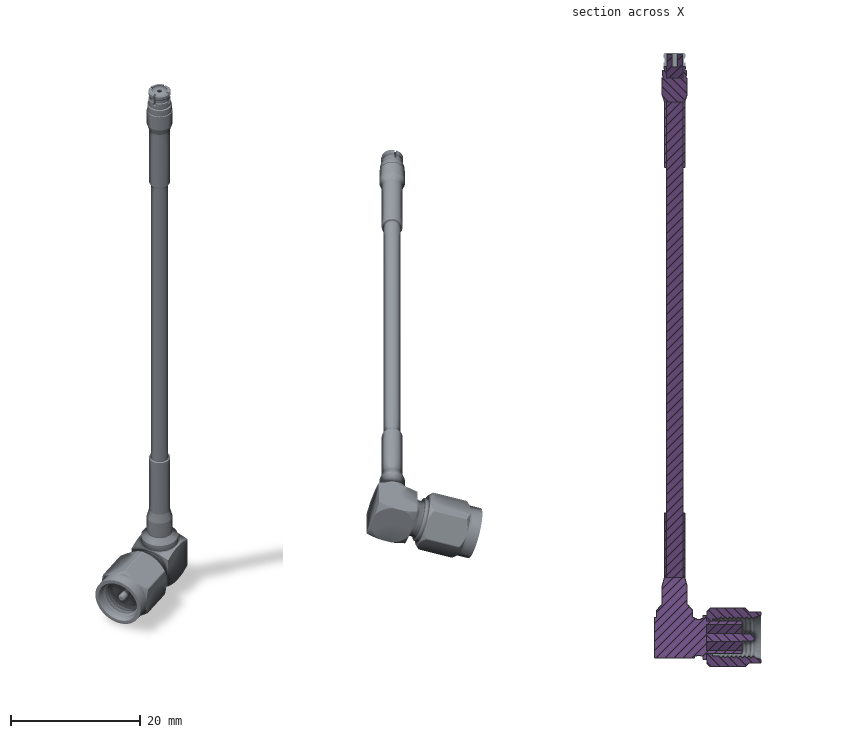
import cadquery as cq
import math


OVERALL_HEIGHT = 95.1
CHAMFER_RUN = 0.6

NUT_FLATS = 8.0
NUT_CORNER_RADIUS = 4.6
NUT_BACK_Y = -4.9
NUT_HEX_END_Y = -11.5
NUT_FRONT_Y = -13.4
NUT_WALL = 0.95
NUT_BORE_RADIUS = 2.9
NUT_MOUTH_RADIUS = 3.4
NUT_MOUTH_DEPTH = 0.6
THREAD_PITCH = 0.7
THREAD_DEPTH = 0.3
THREAD_COUNT = 9

ELBOW_HALF_WIDTH = 3.2
ELBOW_HALF_DEPTH = 3.1
ELBOW_TOP_Z = 3.1
ELBOW_CORNER_DROP = 0.7
ELBOW_TRIM_RADIUS = 3.3
COLLAR_RADIUS = 2.9
COLLAR_CHAMFER_Z = 4.2
COLLAR_TOP_Z = 5.0
COLLAR_TOP_RADIUS = 2.1
FERRULE_RADIUS = 2.0
FERRULE_SHOULDER_Z = 7.9
FERRULE_TOP_Z = 9.3
NECK_RADIUS = 2.95
NECK_GROOVE_RADIUS = 2.9
NECK_GROOVE_BACK_Y = -3.4
NECK_GROOVE_FRONT_Y = -4.1
FLANGE_RADIUS = 3.4
FLANGE_BACK_Y = -4.4
TUBE_RADIUS = 2.6
TUBE_END_Y = -10.5

INSULATOR_RADIUS = 2.0
INSULATOR_BACK_Y = NUT_BACK_Y
PIN_RADIUS = 0.6
PIN_TIP_Y = -12.4
PIN_TIP_CHAMFER = 0.2

CABLE_RADIUS = 1.3
SLEEVE_RADIUS = 1.6
LOWER_SLEEVE_TOP_Z = 19.3
UPPER_SLEEVE_LENGTH = 10.3

PLUG_TIP_Z = OVERALL_HEIGHT - NUT_CORNER_RADIUS
PLUG_LENGTH = 7.5
PLUG_BODY_RADIUS = 2.0
PLUG_CHAMFER_DEPTH = 6.4
PLUG_BODY_DEPTH = 3.8
STOP_RADIUS = 1.9
STOP_DEPTH = 2.7
STOP_GROOVE_DEPTH = 3.5
STOP_GROOVE_RADIUS = 1.8
NOSE_RADIUS = 1.7
NOSE_END_DEPTH = 2.4
NOSE_END_RADIUS = 1.6
LIP_DEPTH = 0.7
SNAP_GROOVE_RADIUS = 1.5
SNAP_GROOVE_START = 0.95
SNAP_GROOVE_END = 1.5
TIP_CHAMFER = 0.2
PLUG_BORE_RADIUS = 1.2
SLOT_WIDTH = 0.4
SLOT_DEPTH = 2.0
SLOT_COUNT = 4
PLUG_INSULATOR_LENGTH = 3.8
PLUG_INSULATOR_RECESS = 0.2
CONTACT_HOLE_RADIUS = 0.4
CONTACT_HOLE_DEPTH = 1.9

PLUG_BASE_Z = PLUG_TIP_Z - PLUG_LENGTH


def turned_z(profile):
    """Solid turned about Z from (radius, z) points; the profile is closed along the axis."""
    points = [(0, profile[0][1])] + profile + [(0, profile[-1][1])]
    return cq.Workplane("XZ").polyline(points).close().revolve(360, (0, 0, 0), (0, 1, 0))


def turned_y(profile):
    """Solid turned about Y from (radius, y) points; the profile is closed along the axis."""
    points = [(0, profile[0][1])] + profile + [(0, profile[-1][1])]
    return cq.Workplane("XY").polyline(points).close().revolve(360, (0, 0, 0), (0, 1, 0))


def rod_z(radius, bottom, top):
    return turned_z([(radius, bottom), (radius, top)])


def rod_y(radius, back, front):
    return turned_y([(radius, back), (radius, front)])


def make_elbow():
    bottom = -ELBOW_HALF_WIDTH
    block = cq.Workplane("XY").rect(2 * ELBOW_HALF_WIDTH, 2 * ELBOW_HALF_DEPTH).extrude(ELBOW_TOP_Z - bottom)
    block = block.translate((0, 0, bottom))
    corner_radius = math.hypot(ELBOW_HALF_WIDTH, ELBOW_HALF_DEPTH)
    block = block.intersect(turned_z([
        (ELBOW_TRIM_RADIUS, bottom),
        (corner_radius, bottom + ELBOW_CORNER_DROP),
        (corner_radius, ELBOW_TOP_Z - ELBOW_CORNER_DROP),
        (ELBOW_TRIM_RADIUS, ELBOW_TOP_Z),
    ]))
    stem = turned_z([
        (COLLAR_RADIUS, 0),
        (COLLAR_RADIUS, COLLAR_CHAMFER_Z),
        (COLLAR_TOP_RADIUS, COLLAR_TOP_Z),
        (FERRULE_RADIUS, COLLAR_TOP_Z),
        (FERRULE_RADIUS, FERRULE_SHOULDER_Z),
        (SLEEVE_RADIUS, FERRULE_TOP_Z),
    ])
    interface = turned_y([
        (NECK_RADIUS, 0),
        (NECK_RADIUS, NECK_GROOVE_BACK_Y),
        (NECK_GROOVE_RADIUS, NECK_GROOVE_BACK_Y),
        (NECK_GROOVE_RADIUS, NECK_GROOVE_FRONT_Y),
        (NECK_RADIUS, NECK_GROOVE_FRONT_Y),
        (NECK_RADIUS, FLANGE_BACK_Y),
        (FLANGE_RADIUS, FLANGE_BACK_Y),
        (FLANGE_RADIUS, NUT_BACK_Y),
        (TUBE_RADIUS, NUT_BACK_Y),
        (TUBE_RADIUS, TUBE_END_Y),
    ])
    insulator_pocket = rod_y(INSULATOR_RADIUS, INSULATOR_BACK_Y, TUBE_END_Y)
    return block.union(stem).union(interface).cut(insulator_pocket)


def make_coupling_nut():
    across_corners = NUT_FLATS / math.cos(math.pi / 6)
    hexagon = cq.Workplane("XZ").polygon(6, across_corners).extrude(NUT_BACK_Y - NUT_HEX_END_Y)
    hexagon = hexagon.rotate((0, 0, 0), (0, 1, 0), 30).translate((0, NUT_BACK_Y, 0))
    face_radius = NUT_CORNER_RADIUS - CHAMFER_RUN
    trim = turned_y([
        (face_radius, NUT_BACK_Y),
        (NUT_CORNER_RADIUS, NUT_BACK_Y - CHAMFER_RUN),
        (NUT_CORNER_RADIUS, NUT_HEX_END_Y + CHAMFER_RUN),
        (face_radius, NUT_HEX_END_Y),
    ])
    collar = rod_y(NUT_FLATS / 2, NUT_HEX_END_Y, NUT_FRONT_Y)
    bore_profile = [
        (TUBE_RADIUS, NUT_BACK_Y),
        (TUBE_RADIUS, NUT_BACK_Y - NUT_WALL),
        (NUT_BORE_RADIUS, NUT_BACK_Y - NUT_WALL),
    ]
    thread_front_y = NUT_FRONT_Y + NUT_MOUTH_DEPTH
    for index in range(THREAD_COUNT, 0, -1):
        groove_back_y = thread_front_y + index * THREAD_PITCH
        bore_profile.append((NUT_BORE_RADIUS, groove_back_y))
        bore_profile.append((NUT_BORE_RADIUS + THREAD_DEPTH, groove_back_y - THREAD_PITCH / 2))
    bore_profile.append((NUT_MOUTH_RADIUS, NUT_FRONT_Y))
    bore = turned_y(bore_profile)
    return hexagon.intersect(trim).union(collar).cut(bore)


def make_pin():
    return turned_y([
        (PIN_RADIUS, INSULATOR_BACK_Y),
        (PIN_RADIUS, PIN_TIP_Y + PIN_TIP_CHAMFER),
        (PIN_RADIUS - PIN_TIP_CHAMFER, PIN_TIP_Y),
    ])


def make_insulator():
    pin_hole = rod_y(PIN_RADIUS, INSULATOR_BACK_Y, TUBE_END_Y)
    return rod_y(INSULATOR_RADIUS, INSULATOR_BACK_Y, TUBE_END_Y).cut(pin_hole)


def make_sleeve(bottom, top):
    return rod_z(SLEEVE_RADIUS, bottom, top).cut(rod_z(CABLE_RADIUS, bottom, top))


def make_plug_shell():
    depth_profile = [
        (SLEEVE_RADIUS, PLUG_LENGTH),
        (PLUG_BODY_RADIUS, PLUG_CHAMFER_DEPTH),
        (PLUG_BODY_RADIUS, PLUG_BODY_DEPTH),
        (STOP_GROOVE_RADIUS, PLUG_BODY_DEPTH),
        (STOP_GROOVE_RADIUS, STOP_GROOVE_DEPTH),
        (STOP_RADIUS, STOP_GROOVE_DEPTH),
        (STOP_RADIUS, STOP_DEPTH),
        (NOSE_END_RADIUS, STOP_DEPTH),
        (NOSE_END_RADIUS, NOSE_END_DEPTH),
        (NOSE_RADIUS, NOSE_END_DEPTH),
        (NOSE_RADIUS, SNAP_GROOVE_END),
        (SNAP_GROOVE_RADIUS, SNAP_GROOVE_END),
        (SNAP_GROOVE_RADIUS, SNAP_GROOVE_START),
        (NOSE_RADIUS, LIP_DEPTH),
        (NOSE_RADIUS, TIP_CHAMFER),
        (NOSE_RADIUS - TIP_CHAMFER, 0),
    ]
    shell = turned_z([(radius, PLUG_TIP_Z - depth) for radius, depth in depth_profile])
    shell = shell.cut(rod_z(PLUG_BORE_RADIUS, PLUG_TIP_Z - PLUG_INSULATOR_LENGTH, PLUG_TIP_Z))
    slot = cq.Workplane("XY").box(NOSE_RADIUS, SLOT_WIDTH, SLOT_DEPTH, centered=(False, True, False))
    slot = slot.translate((PLUG_BORE_RADIUS, 0, PLUG_TIP_Z - SLOT_DEPTH))
    for index in range(SLOT_COUNT):
        shell = shell.cut(slot.rotate((0, 0, 0), (0, 0, 1), index * 360 / SLOT_COUNT))
    return shell


def make_plug_insulator():
    top = PLUG_TIP_Z - PLUG_INSULATOR_RECESS
    hole = rod_z(CONTACT_HOLE_RADIUS, top - CONTACT_HOLE_DEPTH, top)
    return rod_z(PLUG_BORE_RADIUS, PLUG_TIP_Z - PLUG_INSULATOR_LENGTH, top).cut(hole)


elbow = make_elbow()
coupling_nut = make_coupling_nut()
insulator = make_insulator()
pin = make_pin()
cable = rod_z(CABLE_RADIUS, FERRULE_TOP_Z, PLUG_BASE_Z)
sleeve_spans = [
    (FERRULE_TOP_Z, LOWER_SLEEVE_TOP_Z),
    (PLUG_BASE_Z - UPPER_SLEEVE_LENGTH, PLUG_BASE_Z),
]
sleeves = [make_sleeve(bottom, top) for bottom, top in sleeve_spans]
plug_shell = make_plug_shell()
plug_insulator = make_plug_insulator()

result = cq.Compound.makeCompound([
    elbow.val(),
    coupling_nut.val(),
    insulator.val(),
    pin.val(),
    cable.val(),
    *[sleeve.val() for sleeve in sleeves],
    plug_shell.val(),
    plug_insulator.val(),
])